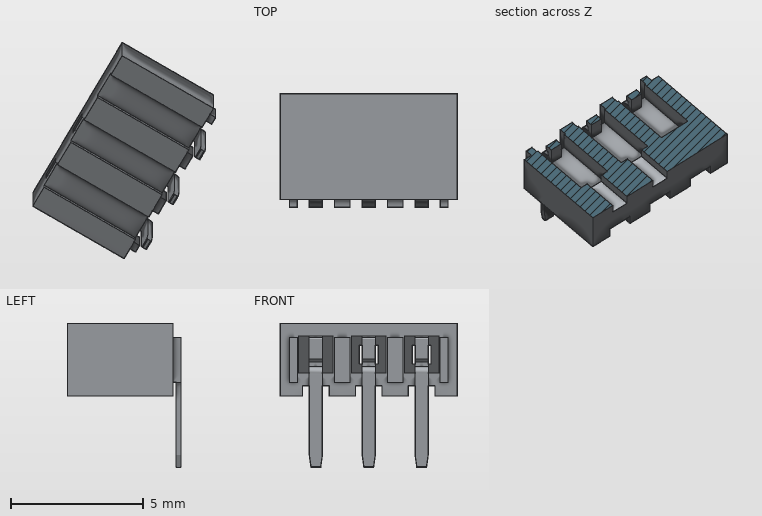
import cadquery as cq
import math

body_width = 6.7
body_depth = 4.0
body_height = 2.75

pitch = 2.0
contact_xs = [-pitch, 0.0, pitch]
open_contact_xs = contact_xs[1:]

pocket_width = 1.3
pocket_height = 1.4
pocket_floor = 0.87
pocket_depth = 2.5
pocket_ceiling = pocket_floor + pocket_height
pocket_mid_z = (pocket_floor + pocket_ceiling) / 2

window_size = 0.7

notch_width = 1.0
notch_height = 0.39

rib_height = 1.7
rib_bottom = 0.525
rib_depth = 0.3
inner_rib_width = 0.6
outer_rib_width = 0.3
rib_span = 6.0
outer_rib_x = (rib_span - outer_rib_width) / 2

contact_width = 0.5
sheet = 0.2
leg_top = 1.115
bend_outer = 0.3
bend_inner = 0.05
post_front = 0.1
post_back = post_front + sheet

pad_front = 0.0
pad_edge = post_front - pad_front
pad_bottom = 1.3
pad_top = 2.22

leg_bottom = -2.7
taper_length = 0.47
tip_width = 0.37
tip_chamfer = 0.04


def box(x_mid, width, y_start, y_end, z_start, z_end):
    """Block centred on x_mid, spanning the given Y and Z ranges."""
    solid = cq.Workplane("XY").box(width, y_end - y_start, z_end - z_start, centered=(True, False, False))
    return solid.translate((x_mid, y_start, z_start))


def make_housing():
    """Block with the pockets, underside notches and mating holes cut out."""
    housing = box(0, body_width, 0, body_depth, 0, body_height)
    for x in contact_xs:
        housing = housing.cut(box(x, pocket_width, 0, pocket_depth, pocket_floor, pocket_ceiling))
        housing = housing.cut(box(x, notch_width, 0, body_depth, 0, notch_height))
    for x in open_contact_xs:
        window_bottom = pocket_mid_z - window_size / 2
        housing = housing.cut(box(x, window_size, 0, body_depth, window_bottom, window_bottom + window_size))
    return housing


def make_rib(x, width):
    """Standoff rib on the front face."""
    return box(x, width, -rib_depth, 0, rib_bottom, rib_bottom + rib_height)


def make_contact():
    """Contact at X = 0: side profile cut to the tapered outline of its leg."""
    leg_front = -rib_depth
    leg_back = leg_front + sheet
    bend_y = leg_front + bend_outer
    bend_z = leg_top - bend_outer
    diagonal = math.sqrt(0.5)
    outer_mid = (bend_y - bend_outer * diagonal, bend_z + bend_outer * diagonal)
    inner_mid = (leg_back + bend_inner * (1 - diagonal), pocket_floor - bend_inner * (1 - diagonal))
    pad_round_mid = (pad_front + pad_edge * (1 - diagonal), pad_top - pad_edge * (1 - diagonal))
    profile = (
        cq.Workplane("YZ")
        .moveTo(leg_front + tip_chamfer, leg_bottom)
        .lineTo(leg_front, leg_bottom + tip_chamfer)
        .lineTo(leg_front, bend_z)
        .threePointArc(outer_mid, (bend_y, leg_top))
        .lineTo(post_front, leg_top)
        .lineTo(post_front, pad_bottom)
        .lineTo(pad_front, pad_bottom + pad_edge)
        .lineTo(pad_front, pad_top - pad_edge)
        .threePointArc(pad_round_mid, (post_front, pad_top))
        .lineTo(post_front, pocket_ceiling)
        .lineTo(post_back, pocket_ceiling)
        .lineTo(post_back, pocket_floor)
        .lineTo(leg_back + bend_inner, pocket_floor)
        .threePointArc(inner_mid, (leg_back, pocket_floor - bend_inner))
        .lineTo(leg_back, leg_bottom + tip_chamfer)
        .lineTo(leg_back - tip_chamfer, leg_bottom)
        .close()
        .extrude(contact_width / 2, both=True)
    )
    half_width = contact_width / 2
    half_tip = tip_width / 2
    taper_start = leg_bottom + taper_length
    outline = (
        cq.Workplane("XZ", origin=(0, leg_front, 0))
        .polyline([
            (-half_tip, leg_bottom),
            (half_tip, leg_bottom),
            (half_width, taper_start),
            (half_width, pocket_ceiling),
            (-half_width, pocket_ceiling),
            (-half_width, taper_start),
        ])
        .close()
        .extrude(-(post_back - leg_front))
    )
    return profile.intersect(outline)


result = make_housing()
for side in (-1, 1):
    result = result.union(make_rib(side * pitch / 2, inner_rib_width))
    result = result.union(make_rib(side * outer_rib_x, outer_rib_width))
contact = make_contact()
for contact_x in contact_xs:
    result = result.union(contact.translate((contact_x, 0, 0)))